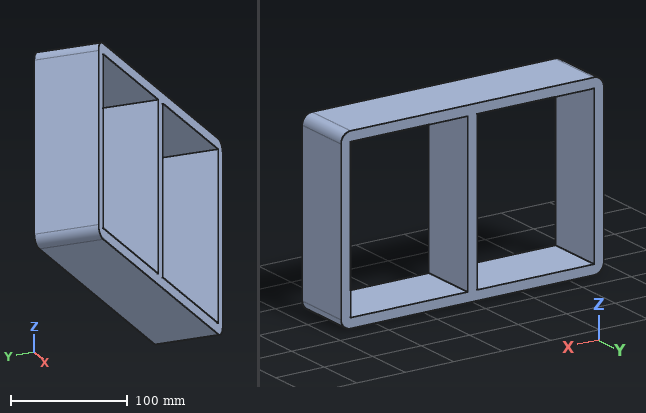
import cadquery as cq

width = 271.0
depth = 60.0
height = 179.5

wall = 10.0
divider = 10.0
corner_radius = 10.0

opening_width = (width - 2 * wall - divider) / 2
opening_height = height - 2 * wall
opening_offset = (opening_width + divider) / 2

frame = cq.Workplane("XY").box(width, depth, height).edges("|Y").fillet(corner_radius)

for side in (-1, 1):
    opening = cq.Workplane("XY").box(opening_width, depth, opening_height)
    frame = frame.cut(opening.translate((side * opening_offset, 0, 0)))

result = frame